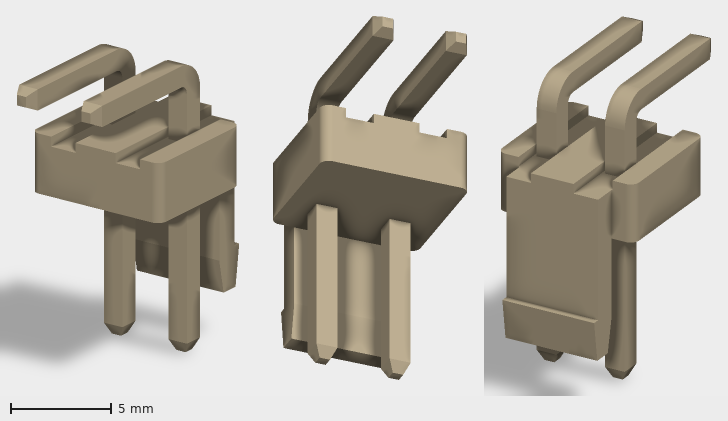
import cadquery as cq
import math


pin_pitch = 3.95
pin_width = 1.14
pin_bottom = -8.61
pin_top = 6.96
pin_front = -8.44
pin_inner_bend = 0.5
pin_outer_bend = pin_inner_bend + pin_width
taper_length = 0.6
tip_width = 0.56
pin_positions = [-pin_pitch / 2, pin_pitch / 2]

block_width = 7.93
block_height = 3.2
block_front = -4.85
block_back = 2.05
corner_radius = 0.5
groove_width = 1.5
groove_depth = 0.53

arm_width = 5.31
arm_back = 3.38
hook_tip = 3.77
hook_top = -3.97
ramp_top = -4.36
arm_bottom = -6.18
arm_end_front = 2.43
arm_end_back = 3.45


def make_tapered_end(end_point, direction):
    """Square pyramid frustum that narrows along direction to its flat tip at end_point."""
    outward = cq.Vector(*direction)
    base = cq.Vector(*end_point) - outward * taper_length
    plane = cq.Plane(origin=base.toTuple(), xDir=(1, 0, 0), normal=direction)
    return (
        cq.Workplane(plane)
        .rect(pin_width, pin_width)
        .workplane(offset=taper_length)
        .rect(tip_width, tip_width)
        .loft(combine=True)
    )


def make_pin(x):
    """Square pin bent through a right angle, with both ends tapered."""
    half = pin_width / 2
    bend_y = half - pin_outer_bend
    bend_z = pin_top - pin_outer_bend
    arc_cosine = math.cos(math.pi / 4)
    outer_middle = (bend_y + pin_outer_bend * arc_cosine, bend_z + pin_outer_bend * arc_cosine)
    inner_middle = (bend_y + pin_inner_bend * arc_cosine, bend_z + pin_inner_bend * arc_cosine)
    shank_bottom = pin_bottom + taper_length
    shank_front = pin_front + taper_length

    shank = (
        cq.Workplane("YZ", origin=(x, 0, 0))
        .moveTo(half, shank_bottom)
        .lineTo(half, bend_z)
        .threePointArc(outer_middle, (bend_y, pin_top))
        .lineTo(shank_front, pin_top)
        .lineTo(shank_front, pin_top - pin_width)
        .lineTo(bend_y, pin_top - pin_width)
        .threePointArc(inner_middle, (-half, bend_z))
        .lineTo(-half, shank_bottom)
        .close()
        .extrude(half, both=True)
    )
    lower_end = make_tapered_end((x, 0, pin_bottom), (0, 0, -1))
    front_end = make_tapered_end((x, pin_front, pin_top - half), (0, -1, 0))
    return shank.union(lower_end).union(front_end)


def make_block():
    """Housing block with rounded vertical corners."""
    depth = block_back - block_front
    return (
        cq.Workplane("XY", origin=(0, (block_front + block_back) / 2, 0))
        .rect(block_width, depth)
        .extrude(block_height)
        .edges("|Z")
        .fillet(corner_radius)
    )


def make_locking_arm():
    """Arm that hangs from the back of the block and ends in a tapered hook."""
    profile = [
        (block_back, block_height),
        (arm_back, block_height),
        (arm_back, hook_top),
        (hook_tip, hook_top),
        (arm_end_back, arm_bottom),
        (arm_end_front, arm_bottom),
        (block_back, ramp_top),
    ]
    return cq.Workplane("YZ").polyline(profile).close().extrude(arm_width / 2, both=True)


def make_housing():
    """Block and arm in one piece, with a top groove and a square hole for each pin."""
    body = make_block().union(make_locking_arm())
    groove_length = arm_back - block_front
    groove_middle = (block_front + arm_back) / 2
    for x in pin_positions:
        groove = (
            cq.Workplane("XY", origin=(x, groove_middle, block_height - groove_depth))
            .rect(groove_width, groove_length)
            .extrude(groove_depth)
        )
        pin_hole = (
            cq.Workplane("XY", origin=(x, 0, 0))
            .rect(pin_width, pin_width)
            .extrude(block_height)
        )
        body = body.cut(groove).cut(pin_hole)
    return body


housing = make_housing()
pins = [make_pin(x) for x in pin_positions]

result = cq.Compound.makeCompound([housing.solids().val(), *[pin.solids().val() for pin in pins]])